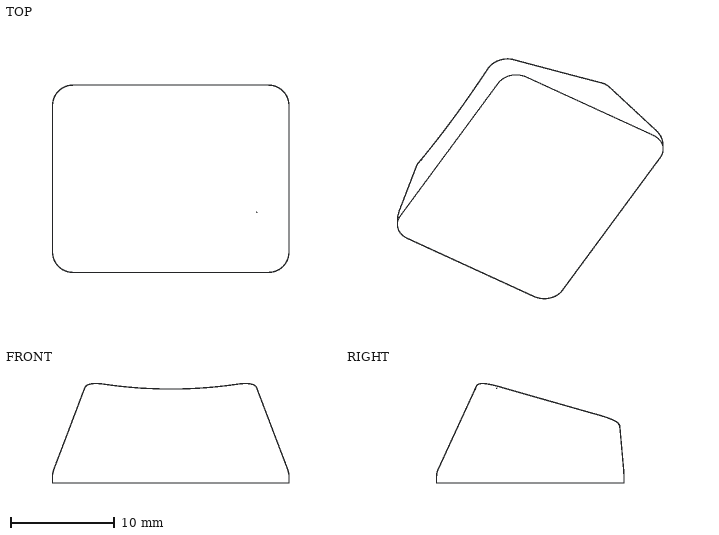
import cadquery as cq
import math

skirt_width = 22.92
skirt_depth = 18.16
crease_height = 1.0

top_width = 16.5
top_front_y = -4.95
top_front_z = 9.97
top_back_y = 8.63
top_back_z = 6.08

skirt_corner_radius = 2.0
top_corner_radius = 1.9
crease_blend = 0.33
top_edge_radius = 0.4

dish_radius = 41.0
dish_overrun = 10.0

overshoot = 1.15

crease_front = cq.Vector(skirt_width / 2, -skirt_depth / 2, crease_height)
crease_back = cq.Vector(skirt_width / 2, skirt_depth / 2, crease_height)
top_front = cq.Vector(top_width / 2, top_front_y, top_front_z)
top_back = cq.Vector(top_width / 2, top_back_y, top_back_z)


def point_at_height(bottom, top, height):
    """Point at the given Z on the straight line from bottom to top."""
    return bottom + (top - bottom) * ((height - bottom.z) / (top.z - bottom.z))


def curve_middle(start, control, end):
    """Middle of the quadratic curve that leaves start and reaches end aiming at control."""
    return (start + control * 2 + end) / 4


def rounded_outline(front, back, corner_radius):
    """Closed four-sided outline, mirrored about X = 0, with rounded corners."""
    corners = [
        cq.Vector(-front.x, front.y, front.z),
        front,
        back,
        cq.Vector(-back.x, back.y, back.z),
    ]
    sharp = cq.Wire.makePolygon(corners, close=True)
    return sharp.fillet2D(corner_radius, sharp.Vertices())


def make_body():
    """Upright skirt, curved blend and leaning ruled sides, stacked into one solid."""
    drop = cq.Vector(0, 0, -crease_blend)
    low_front = crease_front + drop
    low_back = crease_back + drop
    low_rim = rounded_outline(low_front, low_back, skirt_corner_radius)

    blend_top = crease_height + crease_blend
    high_front = point_at_height(crease_front, top_front, blend_top)
    high_back = point_at_height(crease_back, top_back, blend_top)
    high_rim = rounded_outline(high_front, high_back, skirt_corner_radius)

    middle_front = curve_middle(low_front, crease_front, high_front)
    middle_back = curve_middle(low_back, crease_back, high_back)
    middle_rim = rounded_outline(middle_front, middle_back, skirt_corner_radius)

    end_front = crease_front + (top_front - crease_front) * overshoot
    end_back = crease_back + (top_back - crease_back) * overshoot
    end_rim = rounded_outline(end_front, end_back, top_corner_radius)

    skirt = cq.Solid.extrudeLinear(low_rim, [], cq.Vector(0, 0, -low_front.z))
    blend = cq.Solid.makeLoft([low_rim, middle_rim, high_rim])
    upper = cq.Solid.makeLoft([high_rim, end_rim], True)
    return cq.Workplane(obj=skirt).union(cq.Workplane(obj=blend)).union(cq.Workplane(obj=upper))


def make_dish():
    """Cylinder whose axis runs front to back, parallel to the sloping top."""
    run = top_back_y - top_front_y
    rise = top_back_z - top_front_z
    length = math.hypot(run, rise)
    along = cq.Vector(0, run, rise) / length
    upward = cq.Vector(0, -rise, run) / length
    axis_height = math.sqrt(dish_radius**2 - (top_width / 2) ** 2)
    start = cq.Vector(0, top_front_y, top_front_z) + upward * axis_height - along * dish_overrun
    return cq.Solid.makeCylinder(dish_radius, length + 2 * dish_overrun, start, along)


def round_top_edge(dished):
    """Fillet the closed edge around the dished top face."""
    middle = (0, (top_front_y + top_back_y) / 2, (top_front_z + top_back_z) / 2)
    top_face = dished.faces(cq.selectors.NearestToPointSelector(middle))
    return top_face.edges().fillet(top_edge_radius)


dished_body = make_body().cut(cq.Workplane(obj=make_dish()))
result = round_top_edge(dished_body)